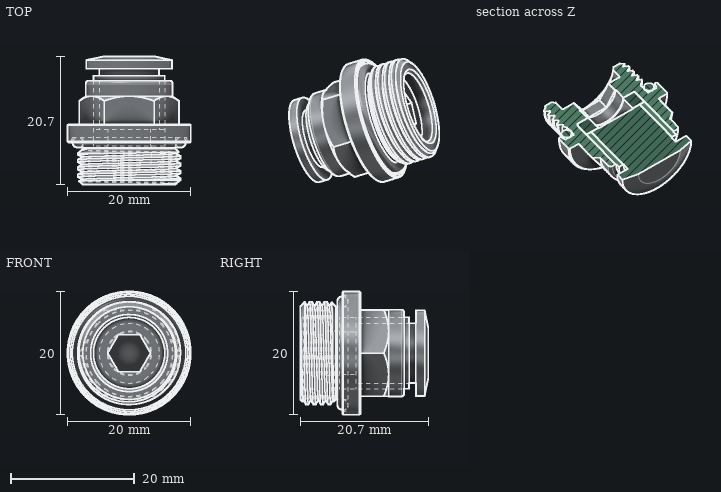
import cadquery as cq
import math


thread_radius = 8.33
thread_pitch = 1.2
crest_width = 0.4
groove_depth = 0.74
thread_length = 5.8
thread_chamfer = 0.75
neck_radius = 7.5
groove_overcut = 0.1
groove_start = -0.96
groove_end = 6.0
stock_overhang = 2.0

ring_section = 0.85
ring_front = 6.0
ring_mean_radius = neck_radius + ring_section
ring_centre = ring_front + ring_section
seat_floor = ring_centre + ring_section
seat_mouth_radius = 9.5
seat_floor_radius = ring_mean_radius + ring_section

flange_radius = 10.0
flange_front = 6.8
flange_back = flange_front + 3.0
flange_chamfer = 0.2
hexagon_flats = 14.0
hexagon_corner_radius = hexagon_flats / 2 / math.cos(math.radians(30))
hexagon_end = 14.32
hexagon_corner_end = 13.55
collar_radius = 7.05
collar_end = 16.85
collar_fillet = 0.5

pocket_radius = 5.77
pocket_chamfer = 0.48
pocket_depth = 2.3
socket_flats = 6.0
socket_corner_diameter = socket_flats / math.cos(math.radians(30))
socket_end = pocket_depth + 1.85
bore_radius = 3.6
bore_end = 6.3

guide_radius = 5.8
guide_end = 17.65
stem_radius = 4.86
stem_front = 9.0
seal_inner_radius = 3.45
button_radius = 6.97
button_front = 18.75
button_edge = 20.16
button_end = 20.74
button_face_radius = 4.2


def revolve_about_y(outline):
    """Turn a closed outline of (radius, y) points into a solid of revolution."""
    return cq.Workplane("XY").polyline(outline).close().revolve(360, (0, 0, 0), (0, 1, 0))


def disc(radius, front, back):
    """Cylinder on the Y axis between two planes."""
    return cq.Workplane("XZ", origin=(0, front, 0)).circle(radius).extrude(front - back)


def hexagon(corner_diameter, front, back):
    """Hexagonal bar on the Y axis with corners at +X and -X."""
    return cq.Workplane("XZ", origin=(0, front, 0)).polygon(6, corner_diameter).extrude(front - back)


def torus_about_y():
    return (
        cq.Workplane("XY")
        .center(ring_mean_radius, ring_centre)
        .circle(ring_section)
        .revolve(360, (-ring_mean_radius, 0, 0), (-ring_mean_radius, 1, 0))
    )


def thread_groove():
    """Right-hand V groove, swept along Z and then laid along +Y."""
    half_width = (thread_pitch - crest_width) / 2
    root_radius = thread_radius - groove_depth
    outer_radius = thread_radius + groove_overcut
    outer_half_width = half_width * (groove_depth + groove_overcut) / groove_depth
    helix = cq.Workplane(cq.Wire.makeHelix(thread_pitch, groove_end - groove_start, root_radius))
    groove = (
        cq.Workplane("XZ")
        .moveTo(root_radius, 0)
        .lineTo(outer_radius, outer_half_width)
        .lineTo(outer_radius, -outer_half_width)
        .close()
        .sweep(helix, isFrenet=True)
    )
    return groove.rotate((0, 0, 0), (1, 0, 0), -90).translate((0, groove_start, 0))


def threaded_end():
    """Threaded bar trimmed to the two end cones and the neck."""
    blank = revolve_about_y([
        (0, 0),
        (neck_radius, 0),
        (thread_radius, thread_chamfer),
        (thread_radius, thread_length - thread_chamfer),
        (neck_radius, thread_length),
        (neck_radius, seat_floor),
        (0, seat_floor),
    ])
    stock = disc(thread_radius, -stock_overhang, seat_floor + stock_overhang)
    return stock.cut(thread_groove()).intersect(blank)


def flange():
    rim = disc(flange_radius, flange_front, flange_back).edges().chamfer(flange_chamfer)
    seat = revolve_about_y([
        (neck_radius, flange_front),
        (seat_mouth_radius, flange_front),
        (seat_floor_radius, seat_floor),
        (neck_radius, seat_floor),
    ])
    return rim.cut(seat)


def wrench_hexagon():
    bar = hexagon(2 * hexagon_corner_radius, flange_back, hexagon_end)
    corner_cone = revolve_about_y([
        (0, flange_back),
        (hexagon_corner_radius, flange_back),
        (hexagon_corner_radius, hexagon_corner_end),
        (hexagon_flats / 2, hexagon_end),
        (0, hexagon_end),
    ])
    return bar.intersect(corner_cone)


def collar():
    return disc(collar_radius, hexagon_end, collar_end).faces(">Y").edges().fillet(collar_fillet)


def passage():
    """Everything removed along the axis: chamfered pocket, hexagon socket, bore and guide bore."""
    pocket = revolve_about_y([
        (0, 0),
        (pocket_radius + pocket_chamfer, 0),
        (pocket_radius, pocket_chamfer),
        (pocket_radius, pocket_depth),
        (0, pocket_depth),
    ])
    socket = hexagon(socket_corner_diameter, pocket_depth, socket_end)
    bore = disc(bore_radius, socket_end, bore_end)
    guide_bore = disc(guide_radius, bore_end, collar_end)
    return pocket.union(socket).union(bore).union(guide_bore)


def ring_between(outer_radius, inner_radius, front, back):
    return disc(outer_radius, front, back).cut(disc(inner_radius, front, back))


housing = threaded_end().union(flange()).union(wrench_hexagon()).union(collar()).cut(passage())

o_ring = torus_about_y()

seal = ring_between(guide_radius, seal_inner_radius, bore_end, stem_front)

guide_ring = ring_between(guide_radius, stem_radius, stem_front, guide_end)

button = revolve_about_y([
    (0, stem_front),
    (stem_radius, stem_front),
    (stem_radius, button_front),
    (button_radius, button_front),
    (button_radius, button_edge),
    (button_face_radius, button_end),
    (0, button_end),
])

result = cq.Compound.makeCompound([
    housing.val(),
    o_ring.val(),
    seal.val(),
    guide_ring.val(),
    button.val(),
])